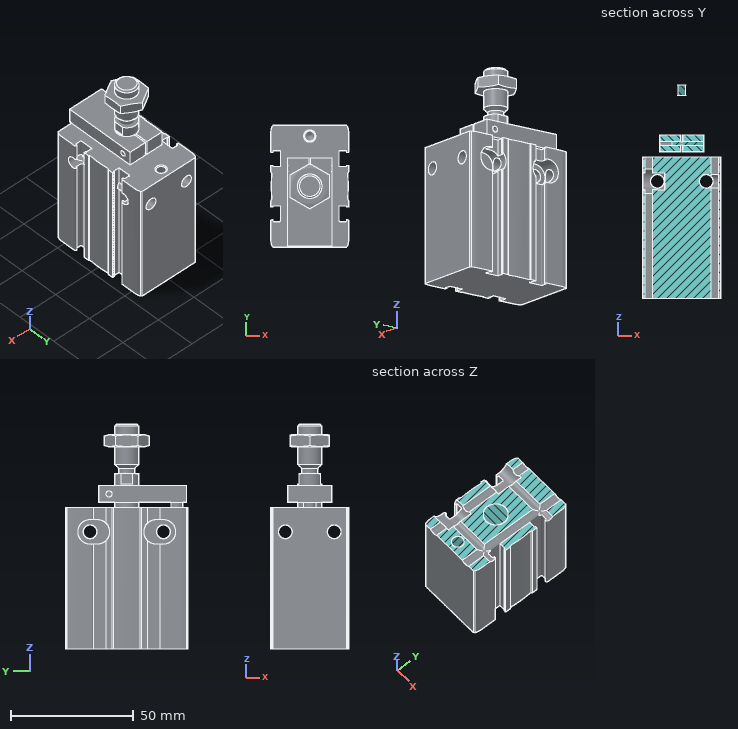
import cadquery as cq
import math


body_x = 32.0
body_y = 50.0
body_height = 58.0
half_x = body_x / 2
half_y = body_y / 2
corner_chamfer = 0.5
corner_radius = 7.5
corner_arc_length = 2.8

groove_depth = 4.0
lip_thickness = 1.0
mouth_inner_y = 8.5
mouth_outer_y = 13.7
groove_inner_y = 8.1
groove_outer_y = 14.5
lip_fillet = 0.55
groove_fillet = 0.4

recess_edge_y = 5.95
recess_foot_y = 5.5
recess_floor_y = 4.95
recess_foot_depth = 0.32
recess_floor_depth = 0.44
recess_crown_depth = 0.2

mount_z = 48.0
mount_diameter = 5.5
end_hole_x = 10.0
side_hole_y = 15.0
pocket_width = 10.0
pocket_inner_y = 7.0
pocket_outer_y = 20.0
pocket_depth = 9.0

port_y = 20.5
port_diameter = 5.0
port_bore_diameter = 4.13
port_bore_depth = 8.0
drill_point_angle = 118.0

insertion = 20.0
rod_diameter = 10.0
rod_shoulder_z = 71.85
rod_top_z = 92.0
neck_diameter = 6.67
neck_length = 2.1
neck_fillet = 0.3
tip_diameter = 8.4
flat_width = 8.9
flat_bottom_z = 67.5
pin_diameter = 5.0
pin_y = -20.5
pin_dish_mouth_diameter = 7.0
pin_dish_floor_diameter = 6.0
pin_dish_depth = 0.15

plate_x = 18.0
plate_thickness = 7.0
plate_bottom_z = 60.0
plate_front_y = -24.5
plate_back_y = 11.5
plate_slit = 0.8
screw_diameter = 2.46
screw_y = 7.25
screw_recess = 5.0
plate_top_z = plate_bottom_z + plate_thickness
screw_z = plate_bottom_z + plate_thickness / 2

nut_across_flats = 16.0
nut_thickness = 5.0
nut_bottom_z = 82.75
nut_face_diameter = 14.6
nut_chamfer_angle = 15.0
nut_sides = 6
nut_half_sector = 180.0 / nut_sides


def side_profile():
    """Open outline of the +X, +Y quarter of the housing, from the Y axis to the recess floor."""
    corner_x = half_x - corner_radius + math.sqrt(corner_radius**2 - corner_arc_length**2)
    arc_end_y = half_y - corner_chamfer
    arc_start_y = arc_end_y - corner_arc_length
    half_arc = math.asin(corner_arc_length / corner_radius) / 2
    arc_mid = (
        half_x - corner_radius + corner_radius * math.cos(half_arc),
        arc_start_y + corner_radius * math.sin(half_arc),
    )
    lip_x = half_x - lip_thickness
    floor_x = half_x - groove_depth
    return (
        cq.Workplane("XY")
        .moveTo(0, half_y)
        .lineTo(corner_x - corner_chamfer, half_y)
        .lineTo(corner_x, arc_end_y)
        .threePointArc(arc_mid, (half_x, arc_start_y))
        .lineTo(half_x, mouth_outer_y + lip_fillet)
        .tangentArcPoint((half_x - lip_fillet, mouth_outer_y), relative=False)
        .lineTo(lip_x, mouth_outer_y)
        .lineTo(lip_x, groove_outer_y - groove_fillet)
        .tangentArcPoint((lip_x - groove_fillet, groove_outer_y), relative=False)
        .lineTo(floor_x + groove_fillet, groove_outer_y)
        .tangentArcPoint((floor_x, groove_outer_y - groove_fillet), relative=False)
        .lineTo(floor_x, groove_inner_y)
        .lineTo(lip_x, groove_inner_y)
        .lineTo(lip_x, mouth_inner_y)
        .lineTo(half_x, mouth_inner_y)
        .lineTo(half_x, recess_edge_y)
        .lineTo(half_x - recess_foot_depth, recess_foot_y)
        .lineTo(half_x - recess_floor_depth, recess_floor_y)
    )


def recess_bulge():
    """Half of the bulged recess floor, as an arc that crosses the X axis at a right angle."""
    rise = recess_floor_depth - recess_crown_depth
    radius = (recess_floor_y**2 + rise**2) / (2 * rise)
    half_angle = math.asin(recess_floor_y / radius) / 2
    crown_x = half_x - recess_crown_depth
    middle = (crown_x - radius * (1 - math.cos(half_angle)), radius * math.sin(half_angle))
    return middle, (crown_x, 0)


def make_housing():
    bulge_mid, bulge_end = recess_bulge()
    quarter = (
        side_profile()
        .threePointArc(bulge_mid, bulge_end)
        .lineTo(0, 0)
        .close()
        .extrude(body_height)
    )
    half = quarter.union(quarter.mirror("XZ"))
    body = half.union(half.mirror("YZ")).clean()

    end_holes = (
        cq.Workplane("XZ", origin=(0, half_y, mount_z))
        .pushPoints([(-end_hole_x, 0), (end_hole_x, 0)])
        .circle(mount_diameter / 2)
        .extrude(body_y)
    )
    side_holes = (
        cq.Workplane("YZ", origin=(-half_x, 0, mount_z))
        .pushPoints([(-side_hole_y, 0), (side_hole_y, 0)])
        .circle(mount_diameter / 2)
        .extrude(body_x)
    )
    pocket_y = (pocket_inner_y + pocket_outer_y) / 2
    pockets = (
        cq.Workplane("YZ", origin=(-half_x, 0, mount_z))
        .pushPoints([(-pocket_y, 0), (pocket_y, 0)])
        .slot2D(pocket_outer_y - pocket_inner_y, pocket_width)
        .extrude(pocket_depth)
    )
    sockets = rod_blank(body_height - insertion, body_height).union(
        pin_blank(body_height - insertion, body_height)
    )
    return body.cut(end_holes).cut(side_holes).cut(pockets).cut(sockets).cut(pin_dish()).cut(air_port())


def pin_dish():
    """Shallow tapered dish around the guide pin in the top face."""
    return (
        cq.Workplane("XY", origin=(0, pin_y, body_height))
        .circle(pin_dish_mouth_diameter / 2)
        .workplane(offset=-pin_dish_depth)
        .circle(pin_dish_floor_diameter / 2)
        .loft(ruled=True)
    )


def air_port():
    """Drilled hole with a conical end and a 45 degree lead-in."""
    bore_radius = port_bore_diameter / 2
    mouth_radius = port_diameter / 2
    point_depth = bore_radius / math.tan(math.radians(drill_point_angle / 2))
    bore_bottom_z = body_height - port_bore_depth
    return (
        cq.Workplane("XZ", origin=(0, port_y, 0))
        .moveTo(0, body_height)
        .lineTo(mouth_radius, body_height)
        .lineTo(bore_radius, body_height - (mouth_radius - bore_radius))
        .lineTo(bore_radius, bore_bottom_z)
        .lineTo(0, bore_bottom_z - point_depth)
        .close()
        .revolve(360, (0, 0, 0), (0, 1, 0))
    )


def cylinder(diameter, y, bottom_z, top_z):
    return cq.Workplane("XY", origin=(0, y, bottom_z)).circle(diameter / 2).extrude(top_z - bottom_z)


def rod_blank(bottom_z, top_z):
    return cylinder(rod_diameter, 0, bottom_z, top_z)


def pin_blank(bottom_z, top_z):
    return cylinder(pin_diameter, pin_y, bottom_z, top_z)


def make_rod():
    rod_radius = rod_diameter / 2
    neck_radius = neck_diameter / 2
    tip_radius = tip_diameter / 2
    neck_top_z = rod_shoulder_z + neck_length
    fillet_offset = neck_fillet * (1 - math.sqrt(0.5))
    rod = (
        cq.Workplane("XZ")
        .moveTo(0, body_height - insertion)
        .lineTo(rod_radius, body_height - insertion)
        .lineTo(rod_radius, rod_shoulder_z)
        .lineTo(neck_radius + neck_fillet, rod_shoulder_z)
        .threePointArc(
            (neck_radius + fillet_offset, rod_shoulder_z + fillet_offset),
            (neck_radius, rod_shoulder_z + neck_fillet),
        )
        .lineTo(neck_radius, neck_top_z)
        .lineTo(rod_radius, neck_top_z + rod_radius - neck_radius)
        .lineTo(rod_radius, rod_top_z - (rod_radius - tip_radius))
        .lineTo(tip_radius, rod_top_z)
        .lineTo(0, rod_top_z)
        .close()
        .revolve(360, (0, 0, 0), (0, 1, 0))
    )
    flat_height = rod_shoulder_z - flat_bottom_z
    for side in (-1, 1):
        cutter = (
            cq.Workplane("XY", origin=(side * flat_width, 0, flat_bottom_z))
            .rect(flat_width, rod_diameter)
            .extrude(flat_height)
        )
        rod = rod.cut(cutter)
    return rod


def make_guide_pin():
    return pin_blank(body_height - insertion, plate_bottom_z)


def make_plate():
    plate = (
        cq.Workplane("XY", origin=(0, (plate_front_y + plate_back_y) / 2, plate_bottom_z))
        .rect(plate_x, plate_back_y - plate_front_y)
        .extrude(plate_thickness)
    )
    slit = (
        cq.Workplane("XY", origin=(0, plate_back_y / 2, plate_bottom_z))
        .rect(plate_slit, plate_back_y)
        .extrude(plate_thickness)
    )
    return plate.cut(slit).cut(rod_blank(plate_bottom_z, plate_top_z)).cut(screw_shank(plate_x))


def screw_shank(length):
    """Cylinder along X that reaches inwards from the +X side of the plate."""
    return (
        cq.Workplane("YZ", origin=(plate_x / 2, screw_y, screw_z))
        .circle(screw_diameter / 2)
        .extrude(-length)
    )


def make_clamp_screw():
    return screw_shank(plate_x - screw_recess)


def make_nut():
    """Hexagon with two corners on the Y direction, its corners chamfered at both ends."""
    corner_diameter = nut_across_flats / math.cos(math.radians(nut_half_sector))
    hexagon = (
        cq.Workplane("XY", origin=(0, 0, nut_bottom_z))
        .polygon(nut_sides, corner_diameter)
        .extrude(nut_thickness)
        .rotate((0, 0, 0), (0, 0, 1), nut_half_sector)
    )
    face_radius = nut_face_diameter / 2
    tip_radius = corner_diameter / 2
    drop = (tip_radius - face_radius) * math.tan(math.radians(nut_chamfer_angle))
    nut_top_z = nut_bottom_z + nut_thickness
    envelope = (
        cq.Workplane("XZ")
        .moveTo(0, nut_bottom_z)
        .lineTo(face_radius, nut_bottom_z)
        .lineTo(tip_radius, nut_bottom_z + drop)
        .lineTo(tip_radius, nut_top_z - drop)
        .lineTo(face_radius, nut_top_z)
        .lineTo(0, nut_top_z)
        .close()
        .revolve(360, (0, 0, 0), (0, 1, 0))
    )
    return hexagon.intersect(envelope).cut(rod_blank(nut_bottom_z, nut_top_z))


housing = make_housing()
rod = make_rod()
guide_pin = make_guide_pin()
plate = make_plate()
clamp_screw = make_clamp_screw()
nut = make_nut()

result = cq.Compound.makeCompound(
    [housing.val(), rod.val(), guide_pin.val(), plate.val(), clamp_screw.val(), nut.val()]
)